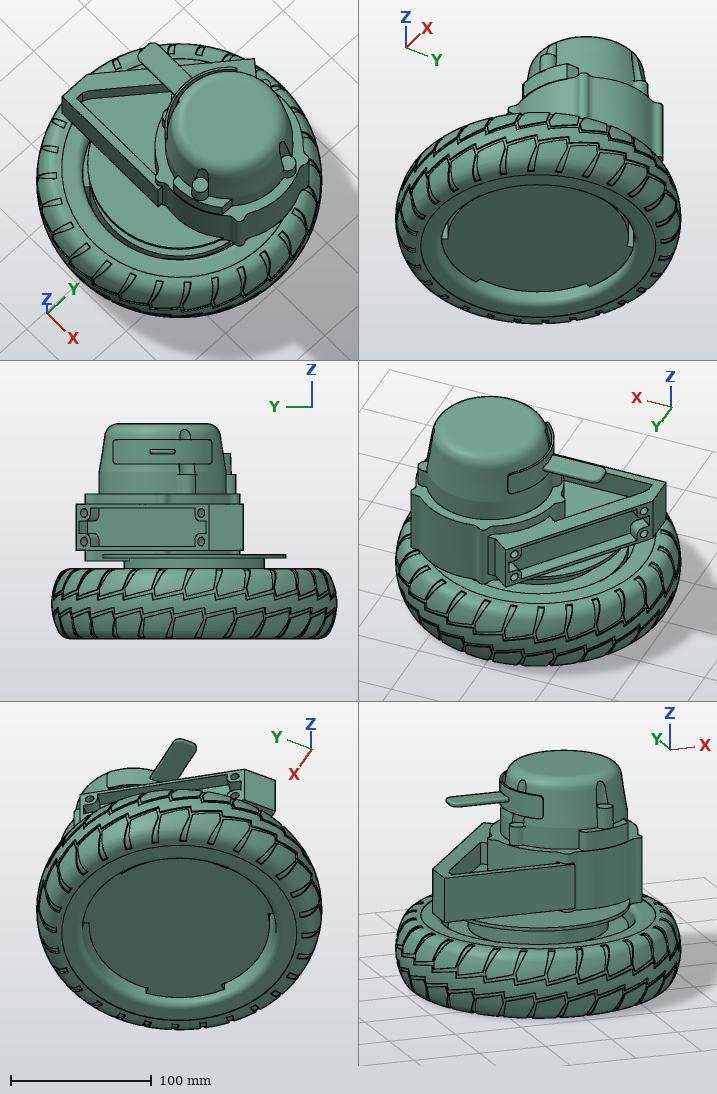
import cadquery as cq
import math

TOLERANCE = 1e-4

TIRE_RADIUS = 101.5
WHEEL_WIDTH = 50.0
MID_HEIGHT = WHEEL_WIDTH / 2
CROWN_RADIUS = 42.6
SHOULDER_RADIUS = 10.2
RIM_RADIUS = 83.6
RIM_EDGE_FILLET = 0.8
RIM_BORE_RADIUS = 68.8
RIM_LIP_FILLET = 4.7
RIM_RECESS = 8.1

WINDOW_COUNT = 3
WINDOW_INNER_RADIUS = 64.1
WINDOW_ANGLE = 72.0
WINDOW_FIRST_ANGLE = -90.0
SPOKE_DROP = 6.3

GROOVE_COUNT = 28
GROOVE_PITCH = 360 / GROOVE_COUNT
GROOVE_DEPTH = 1.0
GROOVE_INNER_RADIUS = 87.3
GROOVE_PHASE = -4.4
GROOVE_OUTLINE = [
    (-1.0, 35.1), (3.0, 52.0), (8.1, 52.0), (1.0, 36.3), (2.2, 30.2),
    (22.3, 35.3), (22.3, 32.5), (0.5, 27.6), (-0.2, 32.5),
]

HUB_RADIUS = 50.0
FLANGE_RADIUS = 65.2
FLANGE_BOTTOM = 57.5
FLANGE_THICKNESS = 2.5

MOTOR_X = 27.8
MOTOR_Y = 22.5
HOUSING_RADIUS = 52.8
HOUSING_BOTTOM = 55.2
HOUSING_TOP = 103.1
LUG_COUNT = 5
LUG_RADIUS = 4.0
LUG_DISTANCE = 53.5
LUG_BLEND = 6.0

DOME_BASE_RADIUS = 45.3
DOME_BASE_TOP = 118.5
DOME_TOP = 153.0
DOME_TOP_RADIUS = 39.8
DOME_FILLET = 9.7

BOSS_RADIUS = 5.9
BOSS_DISTANCE = 45.3
BOSS_TOP = 117.0
TALL_BOSS_ANGLE = -70.5
BOSS_ANGLES = (23.0, TALL_BOSS_ANGLE, 203.0)
BOSS_BLEND = 2.0
TALL_BOSS_TOP = 132.0
TALL_BOSS_RADIUS = 6.3
TALL_BOSS_DRAFT = 2.0

PAD_RADIUS = 52.2
PAD_LEFT_X = 22.5
PAD_RIGHT_X = 62.0
PAD_CORNER = 4.0

STRAP_RADIUS = 45.7
STRAP_THICKNESS = 1.6
STRAP_BOTTOM = 124.5
STRAP_TOP = 141.7
STRAP_ANGLE = 101.2
STRAP_CORNER = 3.0

LEVER_END_X = -59.9
LEVER_WIDTH = 18.0
LEVER_BOTTOM = 131.5
LEVER_THICKNESS = 3.2
LEVER_CORNER = 5.5
LEVER_EDGE = 1.5

BRACKET_BOTTOM = 63.0
BRACKET_TOP = 95.8
BRACKET_LEFT = -84.0
BRACKET_FRONT = -35.0
BRACKET_RIGHT = 14.8
FACE_START = (BRACKET_LEFT, -10.5)
FACE_END = (-10.5, 84.0)
SHOULDER_POINT = (1.6, 74.5)
POCKET_FLOOR = 79.8
POCKET_OUTLINE = [
    (-76.0, -28.5), (-76.0, -22.5), (-73.5, -17.5), (-29.2, 39.0), (-13.2, 26.5), (5.7, -28.5),
]

PORT_LENGTH = 94.2
PORT_HEIGHT = 27.6
SLOT_LENGTH = 114.5
SLOT_HEIGHT = 8.7
PORT_BLEND = 4.9
PORT_DEPTH = 10.0
SCREW_RADIUS = 3.0
SCREW_SPACING = 105.5
SCREW_HEIGHT_SPACING = 20.3


def disc(radius, bottom, top, x=0.0, y=0.0):
    """Upright cylinder between two heights."""
    return cq.Workplane("XY", origin=(x, y, bottom)).circle(radius).extrude(top - bottom)


def polar(distance, angle):
    """Point at a distance and angle from the motor axis."""
    turn = math.radians(angle)
    return MOTOR_X + distance * math.cos(turn), MOTOR_Y + distance * math.sin(turn)


def sector(start_angle, end_angle, reach, height):
    """Upright wedge about the Z axis, less than half a turn wide."""
    corners = [(0, 0)]
    for angle in (start_angle, end_angle):
        turn = math.radians(angle)
        corners.append((reach * math.cos(turn), reach * math.sin(turn)))
    return cq.Workplane("XY").polyline(corners).close().extrude(height)


def tire_blank(inset):
    """Tire without tread, its outer surface moved inward by the inset."""
    crown = TIRE_RADIUS - inset
    crown_center = TIRE_RADIUS - CROWN_RADIUS
    crown_radius = CROWN_RADIUS - inset
    shoulder_height = MID_HEIGHT - SHOULDER_RADIUS
    center_gap = math.sqrt((CROWN_RADIUS - SHOULDER_RADIUS) ** 2 - shoulder_height**2)
    shoulder_center = crown_center + center_gap
    joint_angle = math.atan2(shoulder_height, center_gap)
    joint_x = crown_center + crown_radius * math.cos(joint_angle)
    joint_height = crown_radius * math.sin(joint_angle)
    shoulder_radius = SHOULDER_RADIUS - inset
    bulge_angle = (joint_angle + math.pi / 2) / 2
    bulge_x = shoulder_center + shoulder_radius * math.cos(bulge_angle)
    bulge_height = shoulder_height + shoulder_radius * math.sin(bulge_angle)
    side_height = MID_HEIGHT - inset
    return (
        cq.Workplane("XZ", origin=(0, 0, MID_HEIGHT))
        .moveTo(RIM_RADIUS, -side_height)
        .lineTo(shoulder_center, -side_height)
        .threePointArc((bulge_x, -bulge_height), (joint_x, -joint_height))
        .threePointArc((crown, 0), (joint_x, joint_height))
        .threePointArc((bulge_x, bulge_height), (shoulder_center, side_height))
        .lineTo(RIM_RADIUS, side_height)
        .close()
        .revolve(360, (0, 0, 0), (0, 1, 0))
    )


def make_groove():
    """Cutter for one groove of the upper half, reaching past the tire surface."""
    prism = (
        cq.Workplane("XZ", origin=(0, -GROOVE_INNER_RADIUS, 0))
        .polyline(GROOVE_OUTLINE)
        .close()
        .extrude(TIRE_RADIUS)
    )
    core = disc(GROOVE_INNER_RADIUS, 0, 2 * WHEEL_WIDTH)
    groove = prism.cut(tire_blank(GROOVE_DEPTH)).cut(core)
    return groove.rotate((0, 0, 0), (0, 0, 1), GROOVE_PHASE).val()


def turned(shape, pitches):
    """The shape turned about the wheel axis by a number of groove pitches."""
    return shape.rotate((0, 0, 0), (0, 0, 1), pitches * GROOVE_PITCH)


def is_slice_side(face):
    """True for a flat face that lies in a plane through the wheel axis."""
    if face.geomType() != "PLANE":
        return False
    normal = face.normalAt()
    center = face.Center()
    offset = normal.x * center.x + normal.y * center.y
    return abs(normal.z) < TOLERANCE and abs(offset) < TOLERANCE


def make_tire():
    """One slice of the tire, a groove pitch wide, whose skin is repeated around the axis."""
    wedge = sector(-90, GROOVE_PITCH - 90, 2 * TIRE_RADIUS, WHEEL_WIDTH)
    upper_groove = make_groove()
    lower_groove = upper_groove.rotate((0, 0, MID_HEIGHT), (0, 1, MID_HEIGHT), 180)
    grooves = []
    for pitches in range(-2, 4):
        grooves.append(turned(upper_groove, pitches))
        grooves.append(turned(lower_groove, pitches))
    tire_slice = tire_blank(0.0).intersect(wedge).val().cut(*grooves)
    skin = []
    for face in tire_slice.Faces():
        if not is_slice_side(face):
            skin += [turned(face, pitches) for pitches in range(GROOVE_COUNT)]
    return cq.Solid.makeSolid(cq.Shell.makeShell(skin)).clean()


def make_wheel_disc():
    rim = disc(RIM_RADIUS, 0, WHEEL_WIDTH).faces("|Z").edges().fillet(RIM_EDGE_FILLET)
    recess = disc(RIM_BORE_RADIUS, WHEEL_WIDTH - RIM_RECESS, WHEEL_WIDTH)
    rim = rim.cut(recess).cut(recess.translate((0, 0, RIM_RECESS - WHEEL_WIDTH)))
    lips = cq.selectors.RadiusNthSelector(0)
    rim = rim.faces(">Z or <Z").edges(lips).fillet(RIM_LIP_FILLET)
    ring = disc(RIM_BORE_RADIUS, 0, WHEEL_WIDTH).cut(disc(WINDOW_INNER_RADIUS, 0, WHEEL_WIDTH))
    spoke_top = WHEEL_WIDTH - RIM_RECESS - SPOKE_DROP
    rim = rim.cut(ring.translate((0, 0, spoke_top)))
    half_angle = WINDOW_ANGLE / 2
    window = ring.intersect(sector(-half_angle, half_angle, 2 * RIM_BORE_RADIUS, WHEEL_WIDTH))
    for index in range(WINDOW_COUNT):
        angle = WINDOW_FIRST_ANGLE + index * 360 / WINDOW_COUNT
        rim = rim.cut(window.rotate((0, 0, 0), (0, 0, 1), angle))
    return rim


def make_hub():
    hub = disc(HUB_RADIUS, WHEEL_WIDTH - RIM_RECESS, FLANGE_BOTTOM)
    flange = disc(FLANGE_RADIUS, FLANGE_BOTTOM, FLANGE_BOTTOM + FLANGE_THICKNESS)
    return hub.union(flange)


LUG_CENTERS = [polar(LUG_DISTANCE, 180 + index * 360 / LUG_COUNT) for index in range(LUG_COUNT)]
BOSS_CENTERS = [polar(BOSS_DISTANCE, angle) for angle in BOSS_ANGLES]


def blended_cylinder(radius, bottom, top, lug_centers, lug_radius, blend):
    """Cylinder on the motor axis with round lugs, and fillets where the lugs meet it."""
    def is_joint(edge):
        point = edge.Center()
        from_axis = math.hypot(point.x - MOTOR_X, point.y - MOTOR_Y)
        from_lug = min(math.hypot(point.x - x, point.y - y) for x, y in lug_centers)
        return abs(from_axis - radius) < TOLERANCE and abs(from_lug - lug_radius) < TOLERANCE

    body = disc(radius, bottom, top, MOTOR_X, MOTOR_Y)
    for x, y in lug_centers:
        body = body.union(disc(lug_radius, bottom, top, x, y))
    return body.edges("|Z").filter(is_joint).fillet(blend)


def make_housing():
    return blended_cylinder(
        HOUSING_RADIUS, HOUSING_BOTTOM, HOUSING_TOP, LUG_CENTERS, LUG_RADIUS, LUG_BLEND
    )


def make_dome():
    base = blended_cylinder(
        DOME_BASE_RADIUS, HOUSING_TOP, BOSS_TOP, BOSS_CENTERS, BOSS_RADIUS, BOSS_BLEND
    )
    rim = disc(DOME_BASE_RADIUS, BOSS_TOP, DOME_BASE_TOP, MOTOR_X, MOTOR_Y)
    cone = (
        cq.Workplane("XY", origin=(MOTOR_X, MOTOR_Y, DOME_BASE_TOP))
        .circle(DOME_BASE_RADIUS)
        .workplane(offset=DOME_TOP - DOME_BASE_TOP)
        .circle(DOME_TOP_RADIUS)
        .loft()
    )
    dome = rim.union(cone.faces(">Z").edges().fillet(DOME_FILLET))
    for x, y in BOSS_CENTERS:
        dome = dome.cut(disc(BOSS_RADIUS, BOSS_TOP, DOME_TOP, x, y))
    tall_x, tall_y = polar(BOSS_DISTANCE, TALL_BOSS_ANGLE)
    tall_boss = (
        cq.Workplane("XY", origin=(tall_x, tall_y, BOSS_TOP))
        .circle(TALL_BOSS_RADIUS)
        .extrude(TALL_BOSS_TOP - BOSS_TOP, taper=TALL_BOSS_DRAFT)
    )
    return base.union(dome).union(tall_boss)


def make_pad():
    width = PAD_RIGHT_X - PAD_LEFT_X
    block = (
        cq.Workplane("XY", origin=(PAD_LEFT_X + width / 2, MOTOR_Y - HOUSING_RADIUS / 2, HOUSING_TOP))
        .rect(width, HOUSING_RADIUS)
        .extrude(BOSS_TOP - HOUSING_TOP)
    )
    pad = block.intersect(disc(PAD_RADIUS, HOUSING_TOP, BOSS_TOP, MOTOR_X, MOTOR_Y))
    return pad.edges("|Z and <X and <Y").fillet(PAD_CORNER)


def make_strap():
    ring = disc(STRAP_RADIUS, STRAP_BOTTOM, STRAP_TOP, MOTOR_X, MOTOR_Y)
    ring = ring.cut(disc(STRAP_RADIUS - STRAP_THICKNESS, STRAP_BOTTOM, STRAP_TOP, MOTOR_X, MOTOR_Y))
    half_angle = STRAP_ANGLE / 2
    wedge = sector(180 - half_angle, 180 + half_angle, 3 * STRAP_RADIUS, DOME_TOP)
    strap = ring.intersect(wedge.translate((MOTOR_X, MOTOR_Y, 0)))
    corners = strap.edges("%LINE").edges("#Z")
    return corners.fillet(STRAP_CORNER)


def make_lever():
    length = MOTOR_X - STRAP_RADIUS + STRAP_THICKNESS / 2 - LEVER_END_X
    return (
        cq.Workplane("XY", origin=(LEVER_END_X + length / 2, MOTOR_Y, LEVER_BOTTOM))
        .rect(length, LEVER_WIDTH)
        .extrude(LEVER_THICKNESS)
        .edges("|Z and <X")
        .fillet(LEVER_CORNER)
        .faces("|Z")
        .edges("not >X")
        .fillet(LEVER_EDGE)
    )


def make_port():
    """Connector recess, cut into the sloping face of the bracket."""
    run = FACE_END[0] - FACE_START[0]
    rise = FACE_END[1] - FACE_START[1]
    middle = (
        (FACE_START[0] + FACE_END[0]) / 2,
        (FACE_START[1] + FACE_END[1]) / 2,
        (BRACKET_BOTTOM + BRACKET_TOP) / 2,
    )

    def is_inner_corner(edge):
        point = face_plane.toLocalCoords(edge).Center()
        on_side = abs(abs(point.x) - PORT_LENGTH / 2) < TOLERANCE
        return on_side and abs(abs(point.y) - SLOT_HEIGHT / 2) < TOLERANCE

    face_plane = cq.Plane(origin=middle, xDir=(run, rise, 0), normal=(rise, -run, 0))
    face = cq.Workplane(face_plane)
    slot = face.rect(SLOT_LENGTH, SLOT_HEIGHT).extrude(PORT_DEPTH)
    recess = face.rect(PORT_LENGTH, PORT_HEIGHT).extrude(PORT_DEPTH).union(slot)
    recess = recess.edges("%LINE").filter(is_inner_corner).fillet(PORT_BLEND)
    screws = (
        face.rect(SCREW_SPACING, SCREW_HEIGHT_SPACING, forConstruction=True)
        .vertices()
        .circle(SCREW_RADIUS)
        .extrude(PORT_DEPTH)
    )
    return recess.union(screws)


def make_bracket():
    outline = [
        (BRACKET_LEFT, BRACKET_FRONT),
        (BRACKET_RIGHT, BRACKET_FRONT),
        (BRACKET_RIGHT, SHOULDER_POINT[1]),
        SHOULDER_POINT,
        FACE_END,
        FACE_START,
    ]
    block = (
        cq.Workplane("XY", origin=(0, 0, BRACKET_BOTTOM))
        .polyline(outline)
        .close()
        .extrude(BRACKET_TOP - BRACKET_BOTTOM)
    )
    pocket = (
        cq.Workplane("XY", origin=(0, 0, POCKET_FLOOR))
        .polyline(POCKET_OUTLINE)
        .close()
        .extrude(BRACKET_TOP - POCKET_FLOOR)
    )
    return block.cut(pocket).cut(make_port())


tire = make_tire()
drive = (
    make_wheel_disc()
    .union(make_hub())
    .union(make_housing())
    .union(make_dome())
    .union(make_pad())
    .union(make_strap())
    .union(make_lever())
    .union(make_bracket())
)
result = cq.Compound.makeCompound([tire, drive.val()])